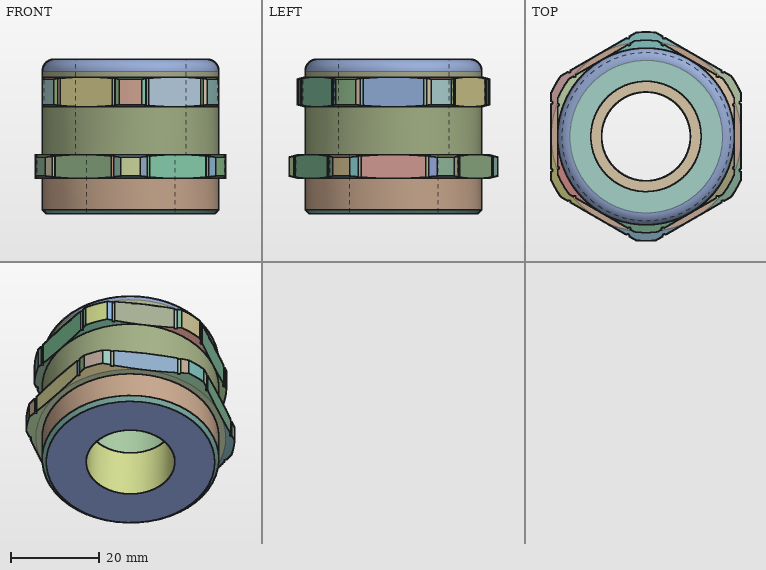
import cadquery as cq
import math

height = 35.0
body_radius = 20.0
bottom_chamfer = 0.95
top_round = 2.75

wide_bore_radius = 12.5
throat_radius = 10.0

lower_hex_bottom = 8.0
lower_hex_top = 13.4
lower_across_flats = 43.0
lower_corner_radius = 23.65
lower_groove_offset = 7.65

upper_hex_bottom = 24.2
upper_hex_top = 30.9
upper_across_flats = 2 * body_radius
upper_corner_radius = 21.75
upper_groove_offset = 7.15

hex_sides = 6
hex_chamfer_angle = 15.0
groove_radius = 0.35

wide_bore_floor = lower_hex_top


def make_body():
    """Plain cylinder, chamfered at the bottom and rounded at the top."""
    body = cq.Workplane("XY").circle(body_radius).extrude(height)
    body = body.faces("<Z").edges().chamfer(bottom_chamfer)
    return body.faces(">Z").edges().fillet(top_round)


def make_hexagon(bottom, top, across_flats, corner_radius, groove_offset):
    """Hexagon with corners on Y, rounded corners, conical end chamfers and two grooves per flat."""
    thickness = top - bottom
    flat_distance = across_flats / 2
    sharp_corner_diameter = 2 * flat_distance / math.cos(math.pi / hex_sides)
    prism = (
        cq.Workplane("XY")
        .transformed(rotate=(0, 0, 90))
        .polygon(hex_sides, sharp_corner_diameter)
        .extrude(thickness)
    )

    chamfer_drop = (corner_radius - flat_distance) * math.tan(math.radians(hex_chamfer_angle))
    blank = (
        cq.Workplane("XZ")
        .moveTo(0, 0)
        .lineTo(flat_distance, 0)
        .lineTo(corner_radius, chamfer_drop)
        .lineTo(corner_radius, thickness - chamfer_drop)
        .lineTo(flat_distance, thickness)
        .lineTo(0, thickness)
        .close()
        .revolve(360, (0, 0, 0), (0, 1, 0))
    )
    hexagon = prism.intersect(blank)

    for side in range(hex_sides):
        grooves = (
            cq.Workplane("XY")
            .transformed(rotate=(0, 0, side * 360 / hex_sides))
            .pushPoints([(flat_distance, -groove_offset), (flat_distance, groove_offset)])
            .circle(groove_radius)
            .extrude(thickness)
        )
        hexagon = hexagon.cut(grooves)
    return hexagon.translate((0, 0, bottom))


def make_bore():
    """Narrow throat through the whole part, widened from the top."""
    throat = cq.Workplane("XY").circle(throat_radius).extrude(height)
    wide_bore = (
        cq.Workplane("XY")
        .workplane(offset=wide_bore_floor)
        .circle(wide_bore_radius)
        .extrude(height - wide_bore_floor)
    )
    return throat.union(wide_bore)


lower_hexagon = make_hexagon(
    lower_hex_bottom, lower_hex_top, lower_across_flats, lower_corner_radius, lower_groove_offset
)
upper_hexagon = make_hexagon(
    upper_hex_bottom, upper_hex_top, upper_across_flats, upper_corner_radius, upper_groove_offset
)

result = make_body().union(lower_hexagon).union(upper_hexagon).cut(make_bore())